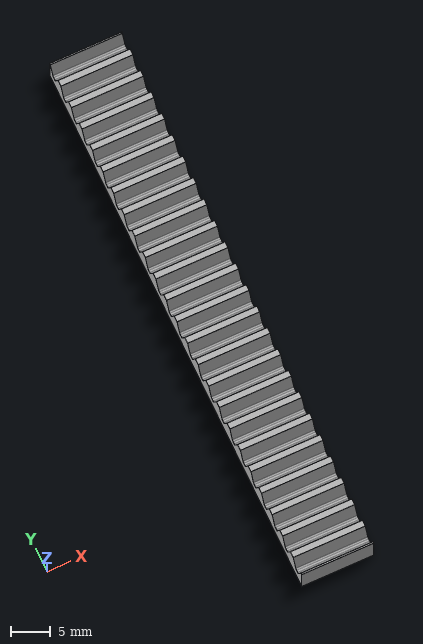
import cadquery as cq
import math

length = 75.0
face_width = 10.0
height = 4.5
gap_count = 24
pressure_angle = math.radians(20)

tooth_depth = height / 2
addendum_factor = 1.0
dedendum_factor = 1.25
module = tooth_depth / (addendum_factor + dedendum_factor)
pitch = math.pi * module

root_radius = (dedendum_factor - addendum_factor) * module

flank_slope = math.tan(pressure_angle)
half_gap_tip = pitch / 4 + addendum_factor * module * flank_slope
half_gap_root = pitch / 4 - dedendum_factor * module * flank_slope

tip_z = height / 2
root_z = tip_z - tooth_depth


def gap_cutter(y):
    """Tapered tooth gap centred at y, with rounded root corners."""
    return (
        cq.Workplane("YZ")
        .polyline(
            [
                (y - half_gap_tip, tip_z),
                (y - half_gap_root, root_z),
                (y + half_gap_root, root_z),
                (y + half_gap_tip, tip_z),
            ]
        )
        .close()
        .extrude(face_width / 2, both=True)
        .edges("|X and <Z")
        .fillet(root_radius)
    )


result = cq.Workplane("XY").box(face_width, length, height)
for index in range(gap_count):
    gap_y = (index - (gap_count - 1) / 2) * pitch
    result = result.cut(gap_cutter(gap_y))